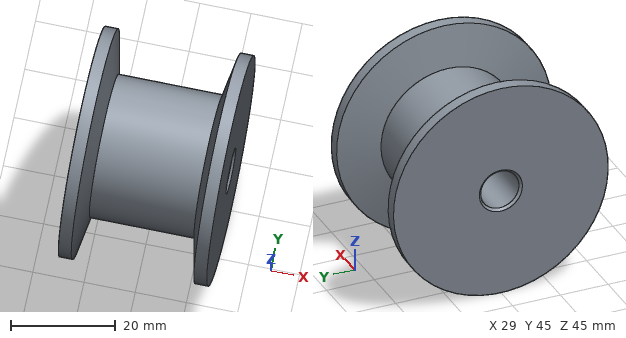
import cadquery as cq

flange_diameter = 45.0
hub_diameter = 28.0
bore_diameter = 8.0
spool_width = 29.0
rim_width = 2.5
hub_width = 20.45
bore_chamfer = 0.5

flange_radius = flange_diameter / 2
hub_radius = hub_diameter / 2
half_width = spool_width / 2
half_hub = hub_width / 2
rim_inner_x = half_width - rim_width


def make_spool_body():
    """Revolve the solid half-profile: rim, cone, hub, cone, rim."""
    return (
        cq.Workplane("XZ")
        .moveTo(-half_width, 0)
        .lineTo(-half_width, flange_radius)
        .lineTo(-rim_inner_x, flange_radius)
        .lineTo(-half_hub, hub_radius)
        .lineTo(half_hub, hub_radius)
        .lineTo(rim_inner_x, flange_radius)
        .lineTo(half_width, flange_radius)
        .lineTo(half_width, 0)
        .close()
        .revolve(360, (0, 0, 0), (1, 0, 0))
    )


def make_bore():
    """Through bore along X, widened by a chamfer at both mouths."""
    bore_radius = bore_diameter / 2
    mouth_radius = bore_radius + bore_chamfer
    chamfer_inner_x = half_width - bore_chamfer
    return (
        cq.Workplane("XZ")
        .moveTo(-half_width, 0)
        .lineTo(-half_width, mouth_radius)
        .lineTo(-chamfer_inner_x, bore_radius)
        .lineTo(chamfer_inner_x, bore_radius)
        .lineTo(half_width, mouth_radius)
        .lineTo(half_width, 0)
        .close()
        .revolve(360, (0, 0, 0), (1, 0, 0))
    )


result = make_spool_body().cut(make_bore())